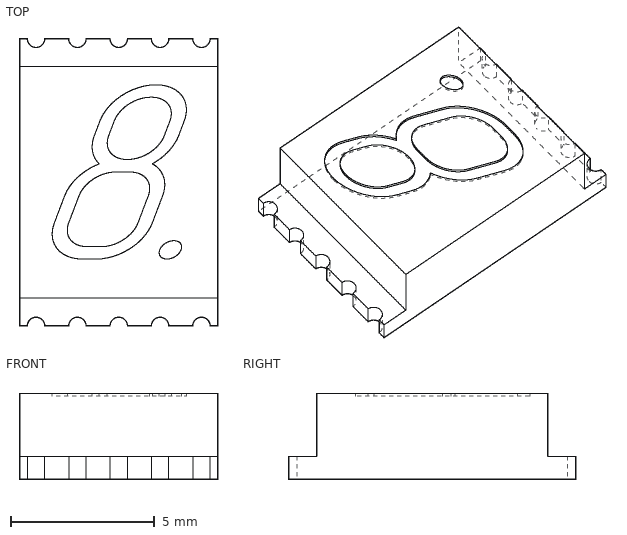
import cadquery as cq

WIDTH = 6.9
BOARD_LENGTH = 10.0
BOARD_THICKNESS = 0.8
BODY_LENGTH = 8.05
TOTAL_HEIGHT = 3.0

NOTCH_COUNT = 5
NOTCH_PITCH = 1.44
NOTCH_RADIUS = 0.3

RECESS_DEPTH = 0.1
STROKE_WIDTH = 0.43
ISLAND_CORNER_RADIUS = 0.83
LOWER_ISLAND_WIDTH = 2.08
LOWER_ISLAND_HEIGHT = 2.6
LOWER_ISLAND_Y = -0.94
UPPER_ISLAND_WIDTH = 1.67
UPPER_ISLAND_HEIGHT = 2.17
UPPER_ISLAND_Y = 1.88
POINT_X = 2.32
POINT_Y = -2.35
POINT_RADIUS = 0.32
WIDENING = 1.16
SLANT = 0.38
CUT_CLEARANCE = 0.1


def board_with_body():
    board = cq.Workplane("XY").box(
        WIDTH, BOARD_LENGTH, BOARD_THICKNESS, centered=(True, True, False)
    )
    body = cq.Workplane("XY").box(
        WIDTH, BODY_LENGTH, TOTAL_HEIGHT, centered=(True, True, False)
    )
    return board.union(body)


def solder_notches():
    return (
        cq.Workplane("XY")
        .rarray(NOTCH_PITCH, BOARD_LENGTH, NOTCH_COUNT, 2)
        .circle(NOTCH_RADIUS)
        .extrude(BOARD_THICKNESS)
    )


def recess_plane():
    return cq.Workplane("XY", origin=(0, 0, TOTAL_HEIGHT - RECESS_DEPTH))


def rounded_block(width, height, center_y, margin):
    """Rounded rectangle grown by margin on every side, reaching from the recess floor up."""
    return (
        recess_plane()
        .center(0, center_y)
        .rect(width + 2 * margin, height + 2 * margin)
        .extrude(RECESS_DEPTH + CUT_CLEARANCE)
        .edges("|Z")
        .fillet(ISLAND_CORNER_RADIUS + margin)
    )


def figure_eight(margin):
    lower = rounded_block(LOWER_ISLAND_WIDTH, LOWER_ISLAND_HEIGHT, LOWER_ISLAND_Y, margin)
    upper = rounded_block(UPPER_ISLAND_WIDTH, UPPER_ISLAND_HEIGHT, UPPER_ISLAND_Y, margin)
    return lower.union(upper)


def decimal_point():
    return (
        recess_plane()
        .center(POINT_X, POINT_Y)
        .circle(POINT_RADIUS)
        .extrude(RECESS_DEPTH + CUT_CLEARANCE)
    )


def slanted(upright):
    """Widen along X, then shift sideways in proportion to Y."""
    matrix = cq.Matrix([
        [WIDENING, SLANT, 0, 0],
        [0, 1, 0, 0],
        [0, 0, 1, 0],
    ])
    return upright.val().transformGeometry(matrix)


eight_stroke = figure_eight(STROKE_WIDTH).cut(figure_eight(0))

result = (
    board_with_body()
    .cut(solder_notches())
    .cut(slanted(eight_stroke))
    .cut(slanted(decimal_point()))
    .solids()
)